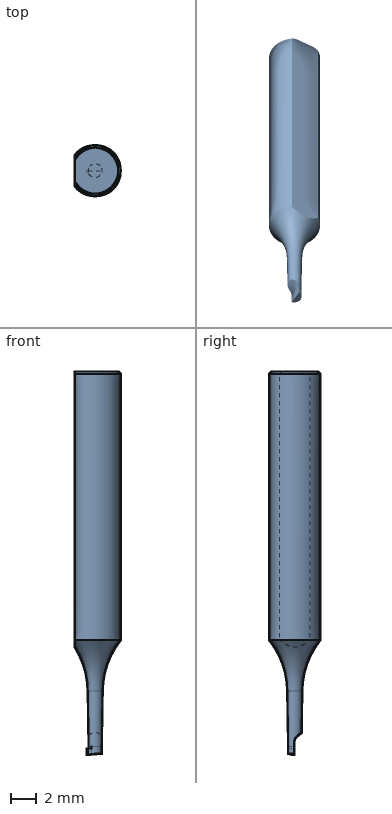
import cadquery as cq
import math

overall_length = 30.0

shank_radius = 2.0
shank_bottom_z = 9.0
top_chamfer = 0.2
flat_x = -1.6

neck_top_z = 5.0
neck_top_radius = 0.6
head_top_z = 0.68
head_radius = 0.53

rake_y = -0.03
rake_top_z = 1.0
runout_radius = 0.6
runout_angle = 50.0

tip_x = -0.66
tooth_height = 0.53
relief_edge = (-0.57, -0.25)
relief_end_x = -0.3
end_edge_angle = 5.0
end_relief_angle = 6.0


def make_bar():
    """Shank, concave flare and tapered neck as one revolved profile."""
    rise = shank_bottom_z - neck_top_z
    widening = shank_radius - neck_top_radius
    flare_radius = (rise**2 + widening**2) / (2 * widening)
    half_sweep = math.asin(rise / flare_radius) / 2
    flare_middle = (
        neck_top_radius + flare_radius * (1 - math.cos(half_sweep)),
        neck_top_z + flare_radius * math.sin(half_sweep),
    )
    profile_plane = cq.Plane(origin=(0, 0, 0), xDir=(0, -1, 0), normal=(-1, 0, 0))
    return (
        cq.Workplane(profile_plane)
        .moveTo(0, head_top_z)
        .lineTo(head_radius, head_top_z)
        .lineTo(neck_top_radius, neck_top_z)
        .threePointArc(flare_middle, (shank_radius, shank_bottom_z))
        .lineTo(shank_radius, overall_length - top_chamfer)
        .lineTo(shank_radius - top_chamfer, overall_length)
        .lineTo(0, overall_length)
        .close()
        .revolve(360, (0, 0, 0), (0, 1, 0))
    )


def make_flat_cutter():
    """Block that leaves the clamping flat on the -X side."""
    return (
        cq.Workplane("XY")
        .box(shank_radius, 2 * shank_radius, overall_length, centered=(False, True, False))
        .translate((flat_x - shank_radius, 0, 0))
    )


def make_rake_cutter():
    """Cutter for the rake face, its rounded root and the sloping run-out."""
    angle = math.radians(runout_angle)
    arc_center_y = rake_y + runout_radius

    def arc_point(turn):
        return (
            arc_center_y - runout_radius * math.cos(turn),
            rake_top_z + runout_radius * math.sin(turn),
        )

    arc_end_y, arc_end_z = arc_point(angle)
    runout_top_z = arc_end_z + (shank_radius - arc_end_y) / math.tan(angle)
    return (
        cq.Workplane("YZ")
        .moveTo(rake_y, 0)
        .lineTo(rake_y, rake_top_z)
        .threePointArc(arc_point(angle / 2), (arc_end_y, arc_end_z))
        .lineTo(shank_radius, runout_top_z)
        .lineTo(shank_radius, 0)
        .close()
        .extrude(shank_radius, both=True)
    )


def make_head():
    """Cutting head: round back, two relief faces and a sloping end face."""
    back_x = math.sqrt(head_radius**2 - rake_y**2)
    relief_end = (relief_end_x, -math.sqrt(head_radius**2 - relief_end_x**2))
    back_middle = (head_radius * math.sqrt(0.5), -head_radius * math.sqrt(0.5))
    head = (
        cq.Workplane("XY")
        .moveTo(back_x, rake_y)
        .lineTo(tip_x, rake_y)
        .lineTo(*relief_edge)
        .lineTo(*relief_end)
        .threePointArc(back_middle, (back_x, rake_y))
        .close()
        .extrude(head_top_z)
    )
    block_size = 2 * shank_radius

    bar_envelope = cq.Workplane("XY").circle(head_radius).extrude(head_top_z)
    below_tooth_top = cq.Workplane("XY").rect(block_size, block_size).extrude(tooth_height)
    head = head.intersect(bar_envelope.union(below_tooth_top))

    end_cutter = (
        cq.Workplane("XY")
        .box(block_size, block_size, block_size, centered=(True, True, False))
        .translate((0, 0, -block_size))
        .rotate((0, 0, 0), (1, 0, 0), -end_relief_angle)
        .rotate((0, 0, 0), (0, 1, 0), -end_edge_angle)
        .translate((tip_x, rake_y, 0))
    )
    return head.cut(end_cutter)


result = (
    make_bar()
    .cut(make_flat_cutter())
    .cut(make_rake_cutter())
    .union(make_head())
)